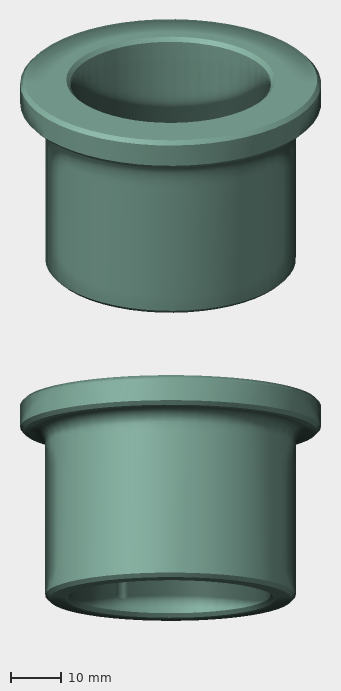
import cadquery as cq

flange_diameter = 60.0
sleeve_diameter = 50.0
bore_diameter = 40.0
total_height = 40.0
flange_thickness = 6.0
edge_chamfer = 0.8
neck_fillet = 2.5
groove_radius = 1.25
groove_end_margin = 3.0

sleeve_height = total_height - flange_thickness
bore_radius = bore_diameter / 2


def bushing_body():
    """Flanged sleeve with a filleted neck and a through bore, chamfered at its rims."""
    sleeve = cq.Workplane("XY").circle(sleeve_diameter / 2).extrude(sleeve_height)
    sleeve = sleeve.faces("<Z").edges().chamfer(edge_chamfer)
    flange = (
        cq.Workplane("XY")
        .workplane(offset=sleeve_height)
        .circle(flange_diameter / 2)
        .extrude(flange_thickness)
        .edges()
        .chamfer(edge_chamfer)
    )
    body = sleeve.union(flange)
    neck_edge = (
        body.faces(cq.selectors.NearestToPointSelector((0, 0, sleeve_height)))
        .edges(cq.selectors.RadiusNthSelector(0))
    )
    body = neck_edge.fillet(neck_fillet)

    bore = cq.Workplane("XY").circle(bore_radius).extrude(total_height)
    body = body.cut(bore)
    bore_rims = body.faces("<Z or >Z").edges(cq.selectors.RadiusNthSelector(0))
    return bore_rims.chamfer(edge_chamfer)


def grease_groove():
    """Round-bottomed lengthwise groove in the bore wall on +X, with domed closed ends."""
    lower_center = groove_end_margin + groove_radius
    upper_center = total_height - lower_center
    groove = (
        cq.Workplane("XY", origin=(bore_radius, 0, lower_center))
        .circle(groove_radius)
        .extrude(upper_center - lower_center)
    )
    for center_height in (lower_center, upper_center):
        dome = cq.Workplane("XY", origin=(bore_radius, 0, center_height)).sphere(groove_radius)
        groove = groove.union(dome)
    return groove


result = bushing_body().cut(grease_groove())